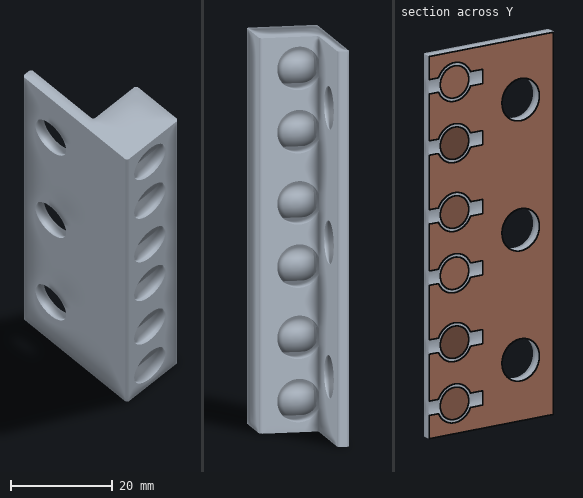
import cadquery as cq

width = 29.4
depth = 14.3
height = 79.4
flange_thickness = 2.4
block_width = 11.9
edge_radius = 0.6
inner_radius = 0.6
block_left = width - block_width

mount_diameter = 8.65
mount_x = 7.9
mount_pitch = 27.0
mount_heights = [height / 2 + i * mount_pitch for i in (-1, 0, 1)]

cross_diameter = 8.7
cross_y = 6.35
cross_start = block_left - inner_radius
pair_spacing = 12.7
cross_heights = [z + side * pair_spacing / 2 for z in mount_heights for side in (-1, 1)]

pin_diameter = 7.9
pin_length = 12.1
pin_chamfer = 0.595
pin_x = width - block_width / 2


def make_profile():
    """L-shaped section with rounded edges, extruded along Z."""
    body = (
        cq.Workplane("XY")
        .polyline([
            (0, 0),
            (width, 0),
            (width, depth),
            (block_left, depth),
            (block_left, flange_thickness),
            (0, flange_thickness),
        ])
        .close()
        .extrude(height)
    )
    inner_corner = cq.selectors.NearestToPointSelector((block_left, flange_thickness, height / 2))
    body = body.edges(inner_corner).fillet(inner_radius)
    outer_corners = [(0, 0), (width, 0), (width, depth), (block_left, depth), (0, flange_thickness)]
    for x, y in outer_corners:
        corner = cq.selectors.NearestToPointSelector((x, y, height / 2))
        body = body.edges("|Z").edges(corner).fillet(edge_radius)
    return body


def cylinder_along_y(diameter, x, z, y_start, length):
    return cq.Workplane(
        cq.Solid.makeCylinder(diameter / 2, length, cq.Vector(x, y_start, z), cq.Vector(0, 1, 0))
    )


def cylinder_along_x(diameter, y, z, x_start, length):
    return cq.Workplane(
        cq.Solid.makeCylinder(diameter / 2, length, cq.Vector(x_start, y, z), cq.Vector(1, 0, 0))
    )


def make_bore(z):
    """Flat-bottomed cylinder that a pin fills."""
    return cylinder_along_y(pin_diameter, pin_x, z, depth - pin_length, pin_length)


def make_pin(z):
    """Barrel pin along Y: outer end flush with the back face, inner end chamfered."""
    return make_bore(z).faces("<Y").chamfer(pin_chamfer)


def make_bracket():
    body = make_profile()
    for z in mount_heights:
        body = body.cut(cylinder_along_y(mount_diameter, mount_x, z, 0, flange_thickness))
    for z in cross_heights:
        body = body.cut(cylinder_along_x(cross_diameter, cross_y, z, cross_start, width - cross_start))
        body = body.cut(make_bore(z))
    return body


bracket = make_bracket()
pins = [make_pin(z) for z in cross_heights]

result = cq.Compound.makeCompound([bracket.val(), *[pin.val() for pin in pins]])